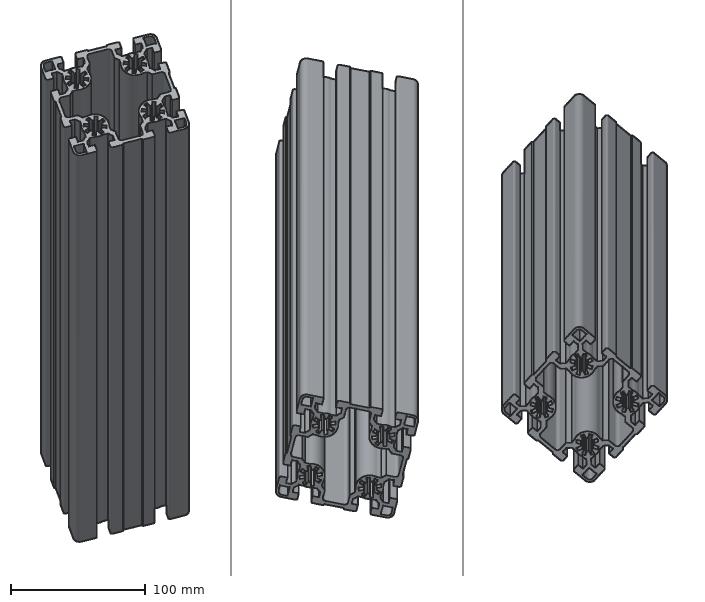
import cadquery as cq
SIDE = 90.0
LENGTH = 500.0
CORNER_RADIUS = 5.0
HALF = SIDE / 2

SLOT_OFFSET = SIDE / 4
SLOT_OPENING = 10.5
SLOT_INNER_WIDTH = 20.0
SLOT_DEPTH = 13.0
LIP_THICKNESS = 6.0
LIP_EDGE_RADIUS = 1.5
SLOT_CHAMFER = 3.0

RECESS_WIDTH_OUTER = 16.0
RECESS_WIDTH_INNER = 14.0
RECESS_DEPTH = 1.0

WEB_THICKNESS = 3.0
PLATE_THICKNESS = 4.0
CAVITY_ARM_HALF = SLOT_OFFSET - SLOT_INNER_WIDTH / 2 - WEB_THICKNESS
CAVITY_END = HALF - PLATE_THICKNESS
CAVITY_END_RADIUS = 2.5

CORE_FLAT = 10.0
CORE_CAVITY_RADIUS = 10.5
CORE_WALL_RADIUS = 10.0
BORE_RADIUS = 5.0
GROOVE_REACH = 8.5
GROOVE_WIDTH = 2.5
GROOVE_ANGLE = 22.5

HOLLOW_OUTER_WALL = 2.0
HOLLOW_INNER_WALL = 3.5
HOLLOW_OUTER_RADIUS = CORNER_RADIUS - HOLLOW_OUTER_WALL

QUARTER_TURNS = [0, 90, 180, 270]


def turned(solid, angle):
    """Return the solid turned about the profile axis."""
    return solid.rotate((0, 0, 0), (0, 0, 1), angle)


def prism(points):
    """Extrude a closed polygon over the full length."""
    return cq.Workplane("XY").polyline(points).close().extrude(LENGTH)


def blank():
    """Square bar with rounded corners."""
    bar = cq.Workplane("XY").rect(SIDE, SIDE).extrude(LENGTH)
    return bar.edges("|Z").fillet(CORNER_RADIUS)


def t_slot(centre):
    """T-slot in the +Y face at the given X position."""
    opening = SLOT_OPENING / 2
    lip_y = HALF - LIP_THICKNESS
    floor_y = HALF - SLOT_DEPTH
    mouth = opening + LIP_EDGE_RADIUS
    shoulder_y = HALF - LIP_EDGE_RADIUS
    channel = (
        cq.Workplane("XY")
        .moveTo(-mouth, HALF)
        .radiusArc((-opening, shoulder_y), LIP_EDGE_RADIUS)
        .lineTo(-opening, floor_y)
        .lineTo(opening, floor_y)
        .lineTo(opening, shoulder_y)
        .radiusArc((mouth, HALF), LIP_EDGE_RADIUS)
        .close()
        .extrude(LENGTH)
    )
    chamber = cq.Workplane("XY").rect(SLOT_INNER_WIDTH, lip_y - floor_y).extrude(LENGTH)
    chamber = chamber.translate((0, (lip_y + floor_y) / 2, 0))
    chamber = chamber.edges("|Z and <Y").chamfer(SLOT_CHAMFER)
    return channel.union(chamber).translate((centre, 0, 0))


def face_recess():
    """Shallow recess with sloping sides in the middle of the +Y face."""
    outer = RECESS_WIDTH_OUTER / 2
    inner = RECESS_WIDTH_INNER / 2
    floor_y = HALF - RECESS_DEPTH
    return prism([(-outer, HALF), (-inner, floor_y), (inner, floor_y), (outer, HALF)])


def cavity_arm():
    """Arm of the cavity from the middle to the +Y plate, widening between the cores."""
    core_side = SLOT_OFFSET - CORE_FLAT
    shoulder_y = HALF - SLOT_DEPTH
    right_side = [
        (core_side, 0),
        (core_side, shoulder_y - WEB_THICKNESS),
        (CAVITY_ARM_HALF, shoulder_y),
        (CAVITY_ARM_HALF, CAVITY_END),
    ]
    left_side = [(-x, y) for x, y in reversed(right_side)]
    arm = prism(right_side + left_side)
    return arm.edges("|Z and >Y").fillet(CAVITY_END_RADIUS)


def core_post(radius):
    """Round bar centred on the core at +X +Y."""
    post = cq.Workplane("XY").circle(radius).extrude(LENGTH)
    return post.translate((SLOT_OFFSET, SLOT_OFFSET, 0))


def cavity():
    """Square middle with four arms, less the round walls of the cores."""
    opened = cq.Workplane("XY").rect(2 * SLOT_OFFSET, 2 * SLOT_OFFSET).extrude(LENGTH)
    for angle in QUARTER_TURNS:
        opened = opened.union(turned(cavity_arm(), angle))
    for angle in QUARTER_TURNS:
        opened = opened.cut(turned(core_post(CORE_CAVITY_RADIUS), angle))
    return opened


def corner_hollow():
    """Hollow of the corner post at +X +Y."""
    low = HALF - SLOT_DEPTH + HOLLOW_INNER_WALL
    high = HALF - HOLLOW_OUTER_WALL
    hollow = cq.Workplane("XY").rect(high - low, high - low).extrude(LENGTH)
    hollow = hollow.edges("|Z and >X and >Y").fillet(HOLLOW_OUTER_RADIUS)
    middle = (low + high) / 2
    return hollow.translate((middle, middle, 0))


def screw_core():
    """Grooved bore of the core at +X +Y."""
    bore = cq.Workplane("XY").circle(BORE_RADIUS).extrude(LENGTH)
    groove = cq.Workplane("XY").rect(2 * GROOVE_REACH, GROOVE_WIDTH).extrude(LENGTH)
    for angle in QUARTER_TURNS[:2]:
        for side in (-1, 1):
            bore = bore.union(turned(groove, angle + side * GROOVE_ANGLE))
    return bore.translate((SLOT_OFFSET, SLOT_OFFSET, 0))


result = blank().cut(cavity())
for turn in QUARTER_TURNS:
    for cutter in (t_slot(-SLOT_OFFSET), t_slot(SLOT_OFFSET), face_recess(), corner_hollow()):
        result = result.cut(turned(cutter, turn))
for turn in QUARTER_TURNS:
    result = result.union(turned(core_post(CORE_WALL_RADIUS), turn))
    result = result.cut(turned(screw_core(), turn))